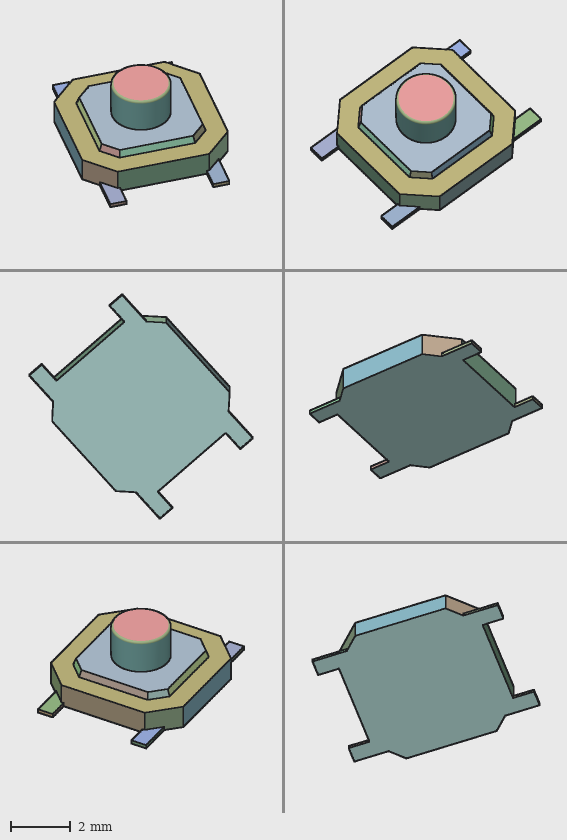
import cadquery as cq

body_width = 5.1
body_height = 0.84
body_corner_cut = 0.95

plinth_width = 3.72
plinth_height = 0.25
plinth_corner_cut = 0.54
plinth_wall_angle = 20

overall_height = 2.3
button_diameter = 2.01
button_edge_radius = 0.08
button_height = overall_height - body_height - plinth_height

lead_span = 6.58
lead_width = 0.565
lead_thickness = 0.14
lead_row_spacing = 3.6


def cut_corner_square(width, corner_cut, base_z):
    """Closed outline of a centred square with its four corners cut at 45 degrees."""
    half = width / 2
    inner = half - corner_cut
    points = [
        (inner, -half),
        (half, -inner),
        (half, inner),
        (inner, half),
        (-inner, half),
        (-half, inner),
        (-half, -inner),
        (-inner, -half),
    ]
    return cq.Workplane("XY").workplane(offset=base_z).polyline(points).close()


def make_body():
    return cut_corner_square(body_width, body_corner_cut, 0).extrude(body_height)


def make_plinth():
    outline = cut_corner_square(plinth_width, plinth_corner_cut, body_height)
    return outline.extrude(plinth_height, taper=plinth_wall_angle)


def make_button():
    button = (
        cq.Workplane("XY")
        .workplane(offset=body_height + plinth_height)
        .circle(button_diameter / 2)
        .extrude(button_height)
    )
    return button.faces(">Z").edges().fillet(button_edge_radius)


def make_leads():
    """Two strips running through the body, giving a lead at each of the four corners."""
    return (
        cq.Workplane("XY")
        .rarray(0.065, lead_row_spacing, 1, 2)
        .rect(lead_span, lead_width)
        .extrude(lead_thickness)
    )


result = make_body().union(make_plinth()).union(make_button()).union(make_leads())